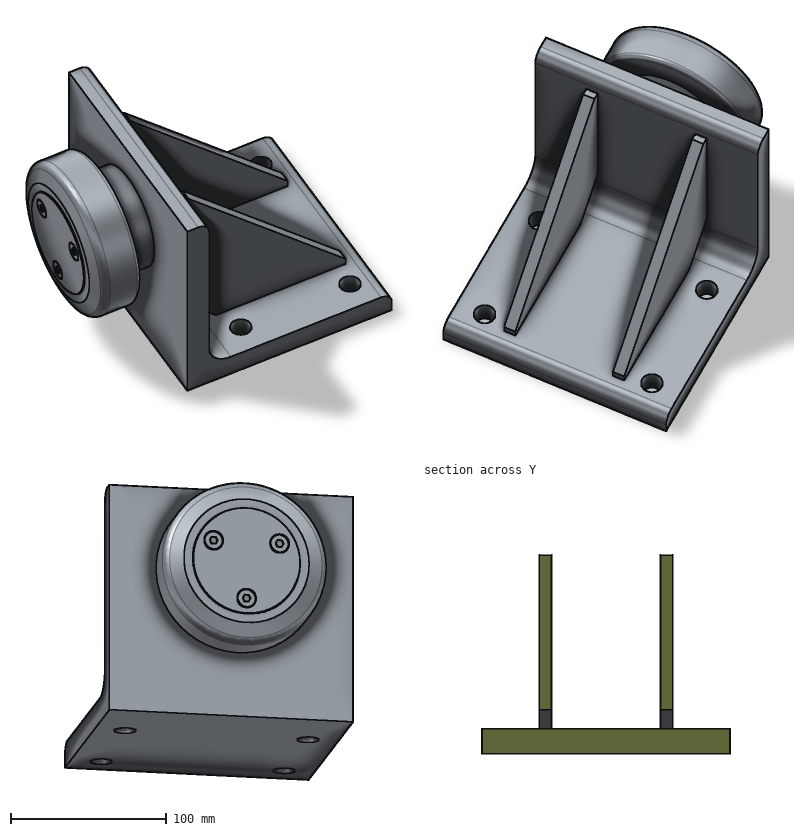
import cadquery as cq
import math

overall_length = 201.5
width = 160.0
leg = 150.0
thickness = 16.0
toe_radius = 8.0
inner_radius = thickness

rib_thickness = 8.0
rib_offset = 39.0
rib_end_gap = 14.0
rib_edge = 4.6
rib_corner_cut = 25.0

hole_diameter = 14.0
hole_x = 60.0
hole_edge_distance = 20.0
hole_pitch = 80.0

roller_z = 90.0
neck_diameter = 71.0
roller_diameter = 107.6
roller_rear = 19.5
cap_front = overall_length - leg
cap_rise = 0.8
roller_front = cap_front - cap_rise
rear_round = 3.0
cone_base_distance = 46.3
cone_front_radius = 41.1
front_round = 5.6

bore_diameter = 70.5
cap_diameter = 70.0
cap_gap_depth = 2.0
screw_circle_radius = 25.0
screw_hole_diameter = 12.5
screw_head_diameter = 11.7
screw_gap_depth = 1.0
socket_corner_diameter = 5.2
socket_depth = 1.0


def make_bracket():
    """L-shaped plate with rounded toes and a rounded inner corner."""
    body = (
        cq.Workplane("YZ")
        .polyline([(0, 0), (leg, 0), (leg, thickness), (thickness, thickness), (thickness, leg), (0, leg)])
        .close()
        .extrude(width / 2, both=True)
    )
    body = body.edges(cq.selectors.NearestToPointSelector((0, thickness, thickness))).fillet(inner_radius)
    for y, z in [(leg, thickness), (thickness, leg)]:
        body = body.edges(cq.selectors.NearestToPointSelector((0, y, z))).fillet(toe_radius)
    hole_centers = [
        (x, leg - hole_edge_distance - row * hole_pitch)
        for x in (-hole_x, hole_x)
        for row in (0, 1)
    ]
    holes = cq.Workplane("XY").pushPoints(hole_centers).circle(hole_diameter / 2).extrude(thickness)
    return body.cut(holes)


def make_rib(x):
    """Diagonal web between the legs, clear of the inner corner."""
    end = leg - rib_end_gap
    edge = thickness + rib_edge
    inner = thickness + rib_corner_cut
    return (
        cq.Workplane("YZ", origin=(x, 0, 0))
        .polyline([
            (inner, thickness), (end, thickness), (end, edge),
            (edge, end), (thickness, end), (thickness, inner),
        ])
        .close()
        .extrude(rib_thickness / 2, both=True)
    )


def forward_plane(distance):
    """Plane square to the roller axis, facing forward."""
    return cq.Workplane("XZ", origin=(0, -distance, roller_z))


def make_roller():
    """Neck and roller with a rounded rear edge and a conical front."""
    neck = forward_plane(0).circle(neck_diameter / 2).extrude(roller_rear)
    profile = [
        (0, -roller_rear),
        (roller_diameter / 2, -roller_rear),
        (roller_diameter / 2, -cone_base_distance),
        (cone_front_radius, -roller_front),
        (0, -roller_front),
    ]
    roller = cq.Workplane("XY").polyline(profile).close().revolve(360, (0, 0, 0), (0, 1, 0))
    rear_rim = cq.selectors.NearestToPointSelector((0, -roller_rear, 0))
    roller = roller.edges(rear_rim).fillet(rear_round)
    cone_rim = cq.selectors.NearestToPointSelector((0, -cone_base_distance, 0))
    roller = roller.edges(cone_rim).fillet(front_round)
    return neck.union(roller.translate((0, 0, roller_z)))


def ring_groove(face, outer_diameter, inner_diameter, depth):
    """Ring-shaped cutter reaching back from a face at the given distance."""
    return (
        forward_plane(face)
        .circle(outer_diameter / 2)
        .circle(inner_diameter / 2)
        .extrude(-depth)
    )


result = make_bracket()
for side in (-1, 1):
    result = result.union(make_rib(side * rib_offset))
result = result.union(make_roller())

cap = forward_plane(roller_front).circle(cap_diameter / 2).extrude(cap_rise)
result = result.union(cap)

result = result.cut(ring_groove(roller_front, bore_diameter, cap_diameter, cap_gap_depth))
socket = forward_plane(cap_front).polygon(6, socket_corner_diameter).extrude(-socket_depth)
screw = ring_groove(cap_front, screw_hole_diameter, screw_head_diameter, screw_gap_depth).union(socket)
for angle_degrees in (30, 150, 270):
    angle = math.radians(angle_degrees)
    x = screw_circle_radius * math.cos(angle)
    z = screw_circle_radius * math.sin(angle)
    result = result.cut(screw.translate((x, 0, z)))